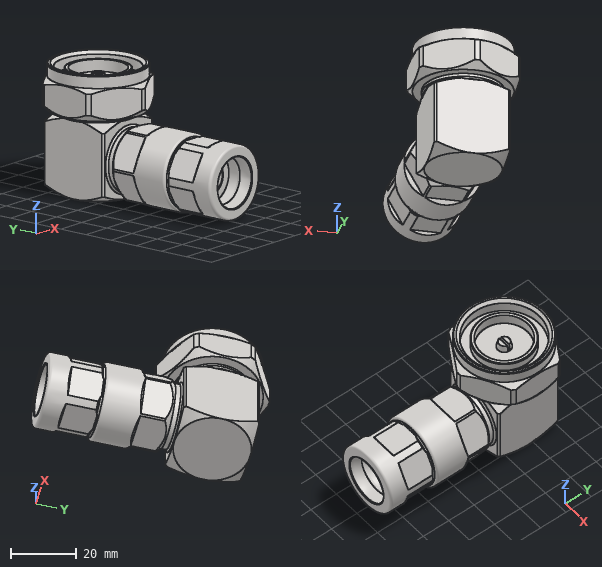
import cadquery as cq
import math


NUT_FLATS = 32.0
NUT_CORNER_RADIUS = 18.0
NUT_BOTTOM = 14.3
NUT_HEX_TOP = 24.75
NUT_TOP = 28.75
NUT_HEX_BOTTOM_RADIUS = 15.6
NUT_HEX_BOTTOM_CHAMFER = NUT_CORNER_RADIUS - NUT_HEX_BOTTOM_RADIUS
NUT_HEX_TOP_CHAMFER = 1.25
NUT_RIM_RADIUS = 15.75
NUT_RIM_EDGE = 0.25
NUT_BORE_RADIUS = 13.65
NUT_BORE_CHAMFER = 1.1
NUT_FLOOR = 24.1

BLOCK_WIDTH = 24.0
BLOCK_HALF = BLOCK_WIDTH / 2
BLOCK_CORNER_RADIUS = 16.5
BLOCK_TOP = 13.2
BLOCK_BOTTOM = -12.2
BLOCK_CHAMFER_ANGLE = 30.0
COLLAR_RADIUS = 12.8
COLLAR_BOTTOM = 12.8
COLLAR_CHAMFER = 0.5
TUBE_RADIUS = 10.45
TUBE_BORE_RADIUS = 9.2
TUBE_TOP = 27.2
TUBE_EDGE = 0.25
TUBE_FLOOR = 23.35
PIN_RADIUS = 2.5
PIN_TIP_RADIUS = 1.95
PIN_TOP = 25.6
PIN_SLOT_WIDTH = 0.8
PIN_SLOT_DEPTH = 1.9
NECK_RADIUS = 10.3
NECK_BASE_RADIUS = 11.0
NECK_CONE_LENGTH = 0.6

ARM_START = 14.25
ARM_END = 36.65
ARM_RADIUS = 12.5
ARM_START_RADIUS = NECK_RADIUS
ARM_END_FILLET = 0.85
ARM_FLATS_END = 24.3
FLAT_END_ANGLE = 60.0
HEX_FLATS = 22.0
HEX_SIDES = 6
CUTTER_OVERRUN = 1.0

REAR_END = 54.41
REAR_RADIUS = 12.0
REAR_COLLAR_RADIUS = 11.43
REAR_COLLAR_LENGTH = 0.75
REAR_CONE_LENGTH = REAR_RADIUS - REAR_COLLAR_RADIUS
REAR_FLATS_START = 37.15
REAR_FLATS_END = 47.5
REAR_FRONT_RAMP_ANGLE = 45.0
REAR_END_FILLET = 0.95
REAR_MOUTH_RADIUS = 8.15
REAR_MOUTH_CHAMFER = 0.25
REAR_LIP_RADIUS = 7.45
REAR_MIDDLE_RADIUS = 8.1
REAR_LIP_DEPTH = 4.2
REAR_INNER_RADIUS = 7.8
REAR_INNER_START_DEPTH = 5.4
REAR_FLOOR_DEPTH = 8.9
REAR_RECESS_RADIUS = 5.05
REAR_RECESS_DEPTH = 0.3


def turned(outline):
    """Solid of revolution about Z from (radius, height) points."""
    return cq.Workplane("XZ").polyline(outline).close().revolve(360, (0, 0, 0), (0, 1, 0))


def turned_on_arm(outline):
    """Solid of revolution about the arm axis from (radius, distance along -Y) points."""
    return turned(outline).rotate((0, 0, 0), (1, 0, 0), 90)


def make_coupling_nut():
    hexagon = (
        cq.Workplane("XY").workplane(offset=NUT_BOTTOM)
        .polygon(HEX_SIDES, NUT_FLATS, circumscribed=True)
        .extrude(NUT_HEX_TOP - NUT_BOTTOM)
    )
    corner_limit = turned([
        (0, NUT_BOTTOM),
        (NUT_HEX_BOTTOM_RADIUS, NUT_BOTTOM),
        (NUT_CORNER_RADIUS, NUT_BOTTOM + NUT_HEX_BOTTOM_CHAMFER),
        (NUT_CORNER_RADIUS, NUT_HEX_TOP - NUT_HEX_TOP_CHAMFER),
        (NUT_RIM_RADIUS, NUT_HEX_TOP),
        (0, NUT_HEX_TOP),
    ])
    rim = turned([
        (0, NUT_BOTTOM),
        (NUT_HEX_BOTTOM_RADIUS, NUT_BOTTOM),
        (NUT_RIM_RADIUS, NUT_HEX_TOP),
        (NUT_RIM_RADIUS, NUT_TOP - NUT_RIM_EDGE),
        (NUT_RIM_RADIUS - NUT_RIM_EDGE, NUT_TOP),
        (0, NUT_TOP),
    ])
    bore = turned([
        (0, NUT_BOTTOM),
        (TUBE_RADIUS, NUT_BOTTOM),
        (TUBE_RADIUS, NUT_FLOOR),
        (NUT_BORE_RADIUS, NUT_FLOOR),
        (NUT_BORE_RADIUS, NUT_TOP - NUT_BORE_CHAMFER),
        (NUT_BORE_RADIUS + NUT_BORE_CHAMFER, NUT_TOP),
        (0, NUT_TOP),
    ])
    return hexagon.intersect(corner_limit).union(rim).cut(bore)


def make_block():
    height = BLOCK_TOP - BLOCK_BOTTOM
    chamfer = (BLOCK_CORNER_RADIUS - BLOCK_HALF) * math.tan(math.radians(BLOCK_CHAMFER_ANGLE))
    corner_limit = turned([
        (0, BLOCK_BOTTOM),
        (BLOCK_HALF, BLOCK_BOTTOM),
        (BLOCK_CORNER_RADIUS, BLOCK_BOTTOM + chamfer),
        (BLOCK_CORNER_RADIUS, BLOCK_TOP - chamfer),
        (BLOCK_HALF, BLOCK_TOP),
        (0, BLOCK_TOP),
    ])
    block = cq.Workplane("XY").workplane(offset=BLOCK_BOTTOM).rect(BLOCK_WIDTH, BLOCK_WIDTH).extrude(height)
    return block.intersect(corner_limit)


def make_collar():
    collar = cq.Workplane("XY").workplane(offset=COLLAR_BOTTOM).circle(COLLAR_RADIUS)
    collar = collar.extrude(NUT_BOTTOM - COLLAR_BOTTOM)
    return collar.faces("<Z").edges().chamfer(COLLAR_CHAMFER)


def make_tube():
    """Contact tube and tapered centre pin, turned in one piece."""
    return turned([
        (0, 0),
        (TUBE_RADIUS, 0),
        (TUBE_RADIUS, TUBE_TOP - TUBE_EDGE),
        (TUBE_RADIUS - TUBE_EDGE, TUBE_TOP),
        (TUBE_BORE_RADIUS, TUBE_TOP),
        (TUBE_BORE_RADIUS, TUBE_FLOOR),
        (PIN_RADIUS, TUBE_FLOOR),
        (PIN_TIP_RADIUS, PIN_TOP),
        (0, PIN_TOP),
    ])


def make_neck():
    """Round neck that leaves the block with a short cone and meets the cable arm."""
    return turned_on_arm([
        (0, 0),
        (NECK_BASE_RADIUS, 0),
        (NECK_BASE_RADIUS, BLOCK_HALF),
        (NECK_RADIUS, BLOCK_HALF + NECK_CONE_LENGTH),
        (NECK_RADIUS, ARM_START),
        (0, ARM_START),
    ])


def make_elbow_body():
    pin_slot = (
        cq.Workplane("XY").workplane(offset=PIN_TOP - PIN_SLOT_DEPTH)
        .rect(2 * PIN_RADIUS, PIN_SLOT_WIDTH)
        .extrude(PIN_SLOT_DEPTH)
    )
    return make_block().union(make_collar()).union(make_tube()).union(make_neck()).cut(pin_slot)


def cut_hex_flats(arm_piece, start, end, start_ramp_angle, end_ramp_angle):
    """Mill six flats whose ends climb to the outside at the given angles from the axis."""
    flat = HEX_FLATS / 2
    rise = ARM_RADIUS - flat + CUTTER_OVERRUN
    start_run = rise / math.tan(math.radians(start_ramp_angle))
    end_run = rise / math.tan(math.radians(end_ramp_angle))
    cutter = (
        cq.Workplane("YZ")
        .polyline([
            (-start, flat),
            (-end, flat),
            (-end - end_run, flat + rise),
            (-start + start_run, flat + rise),
        ])
        .close()
        .extrude(ARM_RADIUS, both=True)
    )
    for index in range(HEX_SIDES):
        arm_piece = arm_piece.cut(cutter.rotate((0, 0, 0), (0, 1, 0), index * 360 / HEX_SIDES))
    return arm_piece


def make_cable_arm():
    chamfer = ARM_RADIUS - ARM_START_RADIUS
    arm = turned_on_arm([
        (0, ARM_START),
        (ARM_START_RADIUS, ARM_START),
        (ARM_RADIUS, ARM_START + chamfer),
        (ARM_RADIUS, ARM_END),
        (0, ARM_END),
    ])
    arm = arm.faces("<Y").edges().fillet(ARM_END_FILLET)
    return cut_hex_flats(arm, ARM_START, ARM_FLATS_END, FLAT_END_ANGLE, FLAT_END_ANGLE)


def make_cable_bore():
    """Bore that curves in from the mouth to a lip, flares out again and ends in a shallow recess."""
    mouth = REAR_END - REAR_MOUTH_CHAMFER
    lip = REAR_END - REAR_LIP_DEPTH
    floor = REAR_END - REAR_FLOOR_DEPTH
    recess_floor = floor - REAR_RECESS_DEPTH
    bore = (
        cq.Workplane("XZ")
        .moveTo(0, recess_floor)
        .lineTo(0, REAR_END)
        .lineTo(REAR_MOUTH_RADIUS + REAR_MOUTH_CHAMFER, REAR_END)
        .lineTo(REAR_MOUTH_RADIUS, mouth)
        .threePointArc((REAR_MIDDLE_RADIUS, (mouth + lip) / 2), (REAR_LIP_RADIUS, lip))
        .lineTo(REAR_INNER_RADIUS, REAR_END - REAR_INNER_START_DEPTH)
        .lineTo(REAR_INNER_RADIUS, floor)
        .lineTo(REAR_RECESS_RADIUS, floor)
        .lineTo(REAR_RECESS_RADIUS, recess_floor)
        .close()
        .revolve(360, (0, 0, 0), (0, 1, 0))
    )
    return bore.rotate((0, 0, 0), (1, 0, 0), 90)


def make_rear_nut():
    collar_end = ARM_END + REAR_COLLAR_LENGTH
    nut = turned_on_arm([
        (0, ARM_END),
        (REAR_COLLAR_RADIUS, ARM_END),
        (REAR_COLLAR_RADIUS, collar_end),
        (REAR_RADIUS, collar_end + REAR_CONE_LENGTH),
        (REAR_RADIUS, REAR_END),
        (0, REAR_END),
    ])
    nut = nut.faces("<Y").edges().fillet(REAR_END_FILLET)
    nut = cut_hex_flats(nut, REAR_FLATS_START, REAR_FLATS_END, REAR_FRONT_RAMP_ANGLE, FLAT_END_ANGLE)
    return nut.cut(make_cable_bore())


coupling_nut = make_coupling_nut()
elbow_body = make_elbow_body()
cable_arm = make_cable_arm()
rear_nut = make_rear_nut()

result = cq.Compound.makeCompound([
    coupling_nut.val(),
    elbow_body.val(),
    cable_arm.val(),
    rear_nut.val(),
])